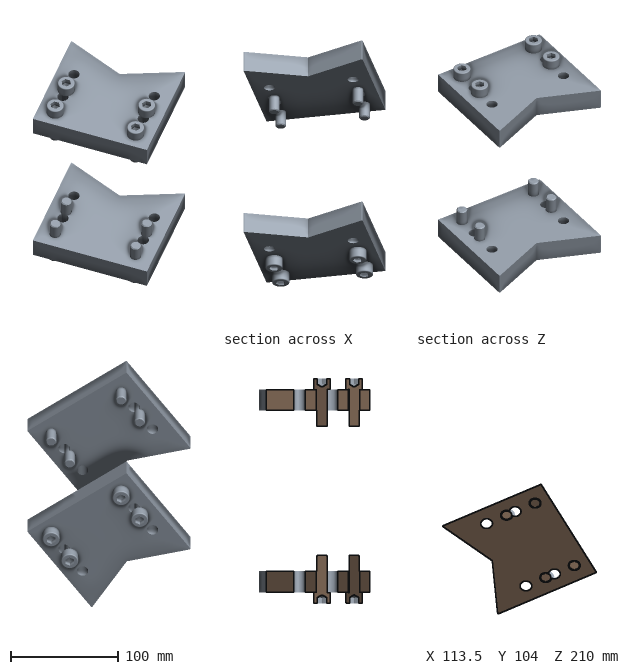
import cadquery as cq
import math

PLATE_WIDTH = 113.5
PLATE_LENGTH = 104.0
PLATE_THICKNESS = 20.0
OVERALL_HEIGHT = 210.0
NOTCH_ANGLE = 135.0
NOTCH_SIDE_FLAT = 1.0
NOTCH_HALF_WIDTH = PLATE_WIDTH / 2 - NOTCH_SIDE_FLAT
NOTCH_DEPTH = NOTCH_HALF_WIDTH / math.tan(math.radians(NOTCH_ANGLE / 2))

HOLE_DIAMETER = 10.5
COLUMN_SPACING = 80.0
COLUMN_XS = [-COLUMN_SPACING / 2, COLUMN_SPACING / 2]
FIRST_ROW_Y = 15.0
ROW_PITCH = 30.0
SPARE_ROW_SHIFT = 20.9
SCREW_ROW_YS = [FIRST_ROW_Y, FIRST_ROW_Y + ROW_PITCH]
SPARE_ROW_YS = [y + SPARE_ROW_SHIFT for y in SCREW_ROW_YS]

SHANK_DIAMETER = 10.0
SHANK_LENGTH = 35.0
SHANK_CHAMFER = 0.92
HEAD_DIAMETER = 16.0
HEAD_HEIGHT = 10.0
HEAD_FILLET = 1.0
SOCKET_ACROSS_FLATS = 8.0
SOCKET_ACROSS_CORNERS = SOCKET_ACROSS_FLATS / math.cos(math.radians(30))
SOCKET_DEPTH = 5.0
SOCKET_CONE_ANGLE = 120.0
SOCKET_CONE_DEPTH = SOCKET_ACROSS_CORNERS / 2 / math.tan(math.radians(SOCKET_CONE_ANGLE / 2))

OUTER_FACE_Z = OVERALL_HEIGHT / 2 - HEAD_HEIGHT


def grid(row_ys):
    """Points where the two columns cross the given rows."""
    return [(x, y) for x in COLUMN_XS for y in row_ys]


def make_plate():
    """V-notched plate, with narrow flats beside the notch and its outer face at the top, at OUTER_FACE_Z."""
    half_width = PLATE_WIDTH / 2
    outline = [
        (-half_width, 0),
        (half_width, 0),
        (half_width, PLATE_LENGTH),
        (NOTCH_HALF_WIDTH, PLATE_LENGTH),
        (0, PLATE_LENGTH - NOTCH_DEPTH),
        (-NOTCH_HALF_WIDTH, PLATE_LENGTH),
        (-half_width, PLATE_LENGTH),
    ]
    base = cq.Workplane("XY", origin=(0, 0, OUTER_FACE_Z - PLATE_THICKNESS))
    blank = base.polyline(outline).close().extrude(PLATE_THICKNESS)
    for row_ys in (SCREW_ROW_YS, SPARE_ROW_YS):
        holes = base.pushPoints(grid(row_ys)).circle(HOLE_DIAMETER / 2).extrude(PLATE_THICKNESS)
        blank = blank.cut(holes)
    return blank


def make_socket():
    """Hexagonal socket with a conical bottom, open at the top of the head."""
    tip_depth = SOCKET_DEPTH + SOCKET_CONE_DEPTH
    corner_radius = SOCKET_ACROSS_CORNERS / 2
    hexagon = (
        cq.Workplane("XY", origin=(0, 0, HEAD_HEIGHT - tip_depth))
        .polygon(6, SOCKET_ACROSS_CORNERS)
        .extrude(tip_depth)
    )
    drill_profile = [
        (0, HEAD_HEIGHT),
        (corner_radius, HEAD_HEIGHT),
        (corner_radius, HEAD_HEIGHT - SOCKET_DEPTH),
        (0, HEAD_HEIGHT - tip_depth),
    ]
    drill = cq.Workplane("XZ").polyline(drill_profile).close().revolve(360, (0, 0), (0, 1))
    return hexagon.intersect(drill)


def make_screw():
    """Cap screw pointing down, with the underside of its head at Z = 0."""
    head = cq.Workplane("XY").circle(HEAD_DIAMETER / 2).extrude(HEAD_HEIGHT)
    head = head.faces(">Z").edges().fillet(HEAD_FILLET)
    shank = cq.Workplane("XY").circle(SHANK_DIAMETER / 2).extrude(-SHANK_LENGTH)
    shank = shank.faces("<Z").edges().chamfer(SHANK_CHAMFER)
    return head.union(shank).cut(make_socket())


upper_plate = make_plate()
screw = make_screw()
upper_bodies = [upper_plate]
for x, y in grid(SCREW_ROW_YS):
    upper_bodies.append(screw.translate((x, y, OUTER_FACE_Z)))
lower_bodies = [body.mirror("XY") for body in upper_bodies]

result = cq.Compound.makeCompound([body.val() for body in upper_bodies + lower_bodies])